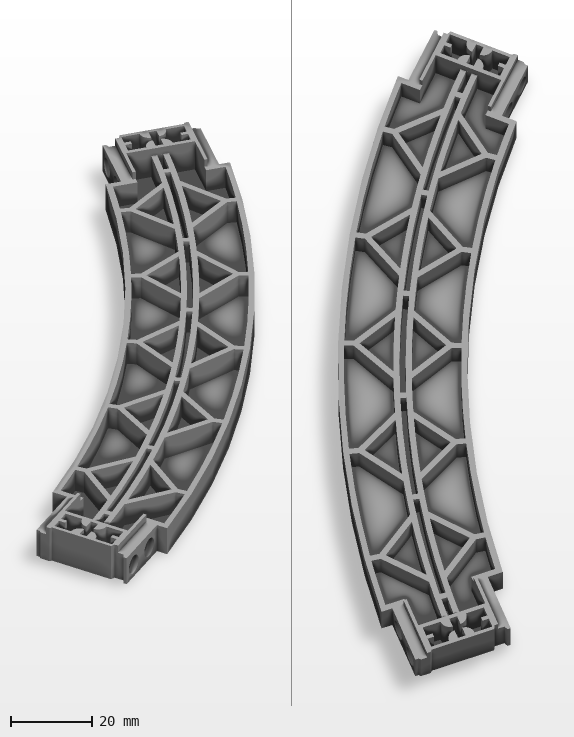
import cadquery as cq
import math


track_radius = 223.9
track_angle = 45.0

deck_half_width = 16.0
deck_height = 7.9
wall = 1.5
floor_top = wall

end_half_width = 12.5
end_length = 15.8
raised_half_width = 9.65
raised_height = 10.0
end_pocket_half_width = 8.8
end_box_length = 7.7

cavity_start = 0.8
cavity_length = 5.9
cavity_half_width = 8.0
cavity_slot_half_width = 1.0
corner_boss_radius = 2.3
cavity_tab_width = 1.0
cavity_tab_length = 1.7

tongue_depth = 0.5
notch_depth = 1.0
key_inner = 8.2
key_outer = 11.7
key_draft = 0.5

hole_diameter = 5.0
hole_depth = 1.7
hole_height = 3.7
first_hole = 3.7
hole_pitch = 8.0

spine_half_width = 2.26
spine_slot_half_width = wall / 2
truss_pitch = 7.5
node_offset = 11.7
foot_offset = 1.7
foot_angle = 2.4

bay_count = round(track_angle / truss_pitch)


def polar(radius, angle):
    """Point at a radius and a clockwise angle from +Y."""
    turn = math.radians(angle)
    return (radius * math.sin(turn), radius * math.cos(turn))


def mirrored(point):
    """Mirror a point across the radial line halfway along the track."""
    x, y = point
    return polar(math.hypot(x, y), track_angle - math.degrees(math.atan2(x, y)))


def arc_band(half_width, inset, bottom, top):
    """Band along the track, cut square at an inset from both mating faces."""
    outer = track_radius + half_width
    inner = track_radius - half_width
    outer_start = (inset, math.sqrt(outer**2 - inset**2))
    inner_start = (inset, math.sqrt(inner**2 - inset**2))
    return (
        cq.Workplane("XY", origin=(0, 0, bottom))
        .moveTo(*outer_start)
        .threePointArc(polar(outer, track_angle / 2), mirrored(outer_start))
        .lineTo(*mirrored(inner_start))
        .threePointArc(polar(inner, track_angle / 2), inner_start)
        .close()
        .extrude(top - bottom)
    )


def arc_slot(half_width, start, end, bottom, top):
    """Piece of the track centre line between two angles, with radial ends."""
    outer = track_radius + half_width
    inner = track_radius - half_width
    middle = (start + end) / 2
    return (
        cq.Workplane("XY", origin=(0, 0, bottom))
        .moveTo(*polar(outer, start))
        .threePointArc(polar(outer, middle), polar(outer, end))
        .lineTo(*polar(inner, end))
        .threePointArc(polar(inner, middle), polar(inner, start))
        .close()
        .extrude(top - bottom)
    )


def block(x_start, x_end, y_start, y_end, bottom, top):
    """Box given by its limits along each axis."""
    return cq.Workplane("XY").box(
        x_end - x_start, y_end - y_start, top - bottom, centered=False
    ).translate((x_start, y_start, bottom))


def at_both_ends(shape):
    """Place a shape made at a mating-face origin, X inwards, at both track ends."""
    near = shape.translate((0, track_radius, 0))
    far = shape.rotate((0, 0, 0), (0, 0, 1), 180 - track_angle)
    return near.add(far.translate((*polar(track_radius, track_angle), 0))).combine()


def key(depth, height):
    """Tapered tongue profile at +Y, standing out of the mating face by its depth."""
    return (
        cq.Workplane("XY")
        .polyline([
            (0, key_inner),
            (-depth, key_inner + key_draft),
            (-depth, key_outer - key_draft),
            (0, key_outer),
        ])
        .close()
        .extrude(height)
    )


def end_block():
    """Stepped end block with its tongue, notch and blind side holes."""
    base = block(0, end_length + wall, -end_half_width, end_half_width, 0, deck_height)
    raised = block(0, end_length, -raised_half_width, raised_half_width, 0, raised_height)
    body = base.union(raised)

    tongue = key(tongue_depth, raised_height)
    above_step = block(
        -tongue_depth, 0, raised_half_width, end_half_width, deck_height, raised_height
    )
    notch = key(notch_depth, raised_height).rotate((0, 0, 0), (0, 0, 1), 180)
    body = body.union(tongue.cut(above_step)).cut(notch)

    for x in (first_hole, first_hole + hole_pitch):
        for side in (-1, 1):
            axis = cq.Vector(0, -side, 0)
            mouth = cq.Vector(x, side * end_half_width, hole_height)
            hole = cq.Solid.makeCylinder(hole_diameter / 2, hole_depth, mouth, axis)
            body = body.cut(cq.Workplane(hole))
    return body


def end_cavity():
    """Cavity of the end box, narrowed by four quarter-round bosses and two tabs."""
    depth = raised_height - floor_top
    cavity_end = cavity_start + cavity_length
    cavity_middle = cavity_start + cavity_length / 2

    def cavity_block(half_width):
        return block(cavity_start, cavity_end, -half_width, half_width, floor_top, raised_height)

    cavity = cavity_block(cavity_half_width)
    for side in (-1, 1):
        for x in (cavity_start, cavity_end):
            boss = (
                cq.Workplane("XY", origin=(x, side * cavity_slot_half_width, floor_top))
                .circle(corner_boss_radius)
                .extrude(depth)
            )
            cavity = cavity.cut(boss)
        tab = cq.Workplane("XY").box(cavity_tab_width, 2 * cavity_tab_length, 2 * raised_height)
        cavity = cavity.cut(tab.translate((cavity_middle, side * cavity_half_width, 0)))
    return cavity.union(cavity_block(cavity_slot_half_width))


def rib(start, end):
    """Straight rib between two points, rising from the floor to the deck top."""
    dx = end[0] - start[0]
    dy = end[1] - start[1]
    return (
        cq.Workplane("XY")
        .box(math.hypot(dx, dy), wall, deck_height, centered=(True, True, False))
        .rotate((0, 0, 0), (0, 0, 1), math.degrees(math.atan2(dy, dx)))
        .translate(((start[0] + end[0]) / 2, (start[1] + end[1]) / 2, 0))
    )


def truss(angle, side):
    """Y-shaped rib: a stub on the deck wall and two legs down to the spine."""
    node = polar(track_radius + side * node_offset, angle)
    stub_end = polar(track_radius + side * (deck_half_width - wall / 2), angle)
    shape = rib(node, stub_end)
    for turn in (-foot_angle, foot_angle):
        foot = polar(track_radius + side * foot_offset, angle + turn)
        shape = shape.union(rib(node, foot))
    return shape


body = arc_band(deck_half_width, end_length, 0, deck_height).union(at_both_ends(end_block()))
end_pocket = block(
    end_box_length,
    end_length + 2 * wall,
    -end_pocket_half_width,
    end_pocket_half_width,
    floor_top,
    raised_height,
)
body = body.cut(arc_band(deck_half_width - wall, end_length + wall, floor_top, raised_height))
body = body.cut(at_both_ends(end_pocket))

body = body.union(arc_band(spine_half_width, end_box_length - wall / 2, 0, deck_height))
for bay in range(1, bay_count):
    for side in (-1, 1):
        body = body.union(truss(bay * truss_pitch, side))

half_bar_angle = math.degrees(wall / 2 / track_radius)
end_box_angle = math.degrees(end_box_length / track_radius)
bar_angles = [(bay + 0.5) * truss_pitch for bay in range(bay_count)]
slot_starts = [end_box_angle] + [angle + half_bar_angle for angle in bar_angles]
slot_ends = [angle - half_bar_angle for angle in bar_angles] + [track_angle - end_box_angle]
for start, end in zip(slot_starts, slot_ends):
    body = body.cut(arc_slot(spine_slot_half_width, start, end, floor_top, deck_height))

result = body.cut(at_both_ends(end_cavity()))